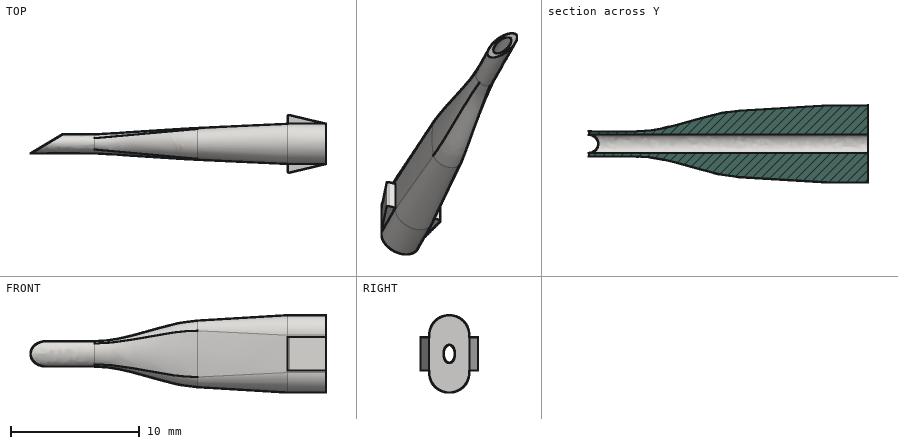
import cadquery as cq
import math

TIP_END_X = 5.0
WAIST_X = 13.0
SOCKET_X = 20.0
TOTAL_LENGTH = 22.99

TIP_HALF_WIDTH = 0.75
TIP_HALF_HEIGHT = 1.0
TIP_CUT_LENGTH = 2.5
TIP_CORNER_ANGLE = 54.0
TIP_CORNER_Y = TIP_HALF_WIDTH * math.cos(math.radians(TIP_CORNER_ANGLE))
TIP_CORNER_Z = TIP_HALF_HEIGHT * math.sin(math.radians(TIP_CORNER_ANGLE))

WAIST_HALF_WIDTH = 1.26
WAIST_HALF_HEIGHT = 2.6
WAIST_CORNER_Y = 1.16
WAIST_CORNER_Z = 1.8

SOCKET_HALF_WIDTH = 1.57
SOCKET_HALF_HEIGHT = 3.02
SOCKET_CORNER_Z = SOCKET_HALF_HEIGHT - SOCKET_HALF_WIDTH

WALL = 0.3
TAB_APEX_Y = 2.28
TAB_HEIGHT = 2.6
TAB_EDGE_RADIUS = 0.13

FLARE_STEPS = 8


def side_edge(outline, middle_y, end_y, end_z):
    """Add a section side up to its end corner, straight when it does not bulge past the corner."""
    if abs(middle_y) > abs(end_y):
        return outline.threePointArc((middle_y, 0), (end_y, end_z))
    return outline.lineTo(end_y, end_z)


def section(x, half_width, half_height, corner_y, corner_z):
    """Closed YZ section made of two side edges and two end arcs."""
    outline = cq.Workplane("YZ", origin=(x, 0, 0)).moveTo(corner_y, -corner_z)
    outline = side_edge(outline, half_width, corner_y, corner_z)
    outline = outline.threePointArc((0, half_height), (-corner_y, corner_z))
    outline = side_edge(outline, -half_width, -corner_y, -corner_z)
    outline = outline.threePointArc((0, -half_height), (corner_y, -corner_z))
    return outline.close().val()


def ease(start, end, end_slope, t):
    """Cubic blend that leaves start with zero slope and reaches end with end_slope."""
    rise = 3 * t**2 - 2 * t**3
    return start + (end - start) * rise + end_slope * (t**3 - t**2)


def blend(start, end, t):
    """Straight-line blend from start to end."""
    return start + (end - start) * t


def make_tip():
    """Elliptical rod whose end is sliced by a vertical oblique plane."""
    rod = cq.Workplane("YZ").ellipse(TIP_HALF_WIDTH, TIP_HALF_HEIGHT).extrude(TIP_END_X)
    waste = (
        cq.Workplane("XY")
        .polyline([(0, -TIP_HALF_WIDTH), (TIP_CUT_LENGTH, TIP_HALF_WIDTH), (0, TIP_HALF_WIDTH)])
        .close()
        .extrude(TIP_HALF_HEIGHT, both=True)
    )
    return rod.cut(waste)


def tip_end_section():
    """Tip ellipse split into four arcs that match the edges of the flare sections."""
    corner = TIP_CORNER_ANGLE
    corner_angles = [-corner, corner, 180 - corner, 180 + corner, 360 - corner]
    outline = cq.Workplane("YZ", origin=(TIP_END_X, 0, 0)).moveTo(TIP_CORNER_Y, -TIP_CORNER_Z)
    for first, last in zip(corner_angles, corner_angles[1:]):
        outline = outline.ellipseArc(TIP_HALF_WIDTH, TIP_HALF_HEIGHT, first, last)
    return outline.wire().val()


def make_flare():
    """S-shaped transition from the tip ellipse to the waist."""
    length = WAIST_X - TIP_END_X
    taper_slope = (SOCKET_HALF_HEIGHT - WAIST_HALF_HEIGHT) / (SOCKET_X - WAIST_X)
    wires = [tip_end_section()]
    for step in range(1, FLARE_STEPS + 1):
        t = step / FLARE_STEPS
        wires.append(
            section(
                blend(TIP_END_X, WAIST_X, t),
                blend(TIP_HALF_WIDTH, WAIST_HALF_WIDTH, t),
                ease(TIP_HALF_HEIGHT, WAIST_HALF_HEIGHT, taper_slope * length, t),
                blend(TIP_CORNER_Y, WAIST_CORNER_Y, t),
                ease(TIP_CORNER_Z, WAIST_CORNER_Z, 0, t),
            )
        )
    return cq.Workplane(cq.Solid.makeLoft(wires))


def socket_section(x):
    return section(x, SOCKET_HALF_WIDTH, SOCKET_HALF_HEIGHT, SOCKET_HALF_WIDTH, SOCKET_CORNER_Z)


def make_taper():
    """Straight taper from the waist to the socket."""
    waist = section(WAIST_X, WAIST_HALF_WIDTH, WAIST_HALF_HEIGHT, WAIST_CORNER_Y, WAIST_CORNER_Z)
    return cq.Workplane(cq.Solid.makeLoft([waist, socket_section(SOCKET_X)], True))


def make_socket():
    """Straight obround length at the wide end."""
    length = TOTAL_LENGTH - SOCKET_X
    return cq.Workplane(cq.Solid.extrudeLinear(socket_section(SOCKET_X), [], cq.Vector(length, 0, 0)))


def make_tabs():
    """Pair of wedge-shaped catches, steep toward the tip and fading out at the open end."""
    outline = [
        (SOCKET_X, -TAB_APEX_Y),
        (TOTAL_LENGTH, -SOCKET_HALF_WIDTH),
        (TOTAL_LENGTH, SOCKET_HALF_WIDTH),
        (SOCKET_X, TAB_APEX_Y),
    ]
    wedge = cq.Workplane("XY").polyline(outline).close().extrude(TAB_HEIGHT / 2, both=True)
    return wedge.edges("|Z and <X").fillet(TAB_EDGE_RADIUS)


def make_bore():
    """Straight elliptical passage through the whole length."""
    return (
        cq.Workplane("YZ")
        .ellipse(TIP_HALF_WIDTH - WALL, TIP_HALF_HEIGHT - WALL)
        .extrude(TOTAL_LENGTH)
    )


body = make_tip().union(make_flare()).union(make_taper()).union(make_socket()).union(make_tabs())
result = body.cut(make_bore())